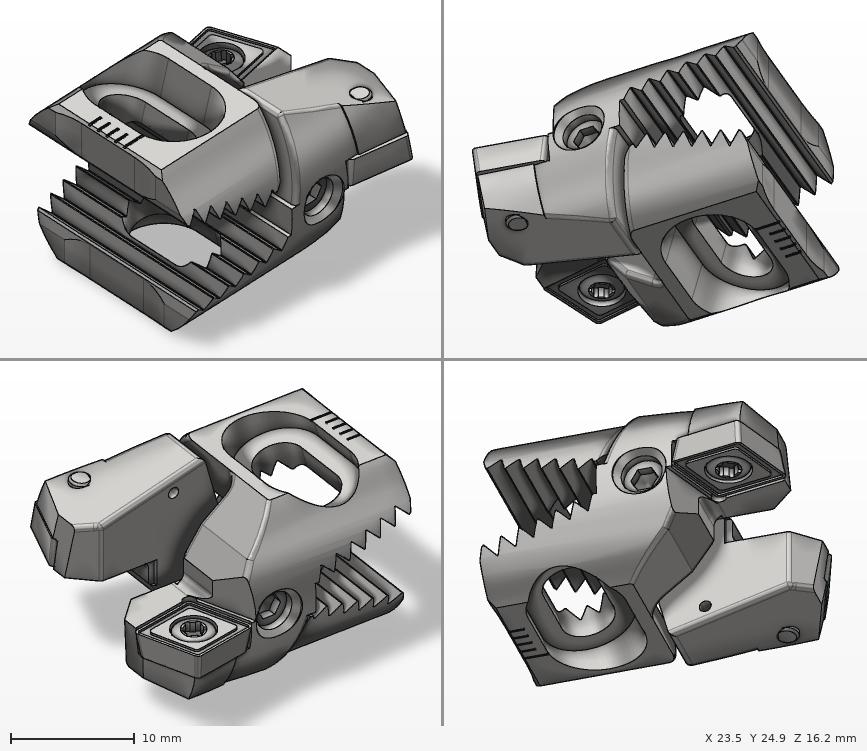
import cadquery as cq
import math


HEIGHT = 16.2
HALF_HEIGHT = HEIGHT / 2
BARREL_RADIUS = 10.0
BARREL_X = -0.5
TOOL_LENGTH = 24.95
TILT = 15.0
SLOT_HALF_WIDTH = 2.05
OVERSIZE = 14.97

PITCH = 1.65
TOOTH_HEIGHT = 1.15
TOOTH_COUNT = 7
FLAT_HALF = 0.05
FIRST_TIP = (0.45, 4.07)

JAW_BACK_Y = 12.08
FRONT_CHAMFER = 0.5
CORNER_RADIUS = 1.5
EDGE_RADIUS = 0.5
CUTBACK_ROOT_Y = 9.45
CUTBACK_Y = 9.9
CUTBACK_Z = 2.5
FRONT_EDGE_Z = 5.16
FRONT_LIP = (0.3, 4.22)
NOTCH_HALF_FLAT = 3.05
NOTCH_HALF_WIDTH = 5.71
NOTCH_DEPTH = 0.27

SLOT_X = -1.72
SLOT_Y = 6.69
SLOT_STRAIGHT = 4.92
SLOT_WIDTH = 4.55
RECESS_WIDTH = 8.0
RECESS_DEPTH = 2.55

MARK_COUNT = 5
MARK_PITCH = 1.0
FIRST_MARK_X = -2.77
MARK_WIDTH = 0.2
MARK_END_Y = 1.75
LONG_MARK_END_Y = 2.55
MARK_DEPTH = 0.1

ARM_STEP = (10.73, -1.2)
ARM_BACK = (12.13, -7.93)
NOSE_LOW_Y = 24.18
NOSE_HIGH_Y = 24.8
NOSE_CHAMFER = 2.15
FLOOR_Z = 0.25
FLUTE_WALL = (17.71, 2.57)
FLUTE_KNEE = (15.9, 5.15)
FLUTE_RADIUS = 0.95

FLARE_START_Y = 18.05
FLARE_RADIUS = 10.15
FLARE_ANGLE = 8.3
FLARE_END_X = -5.0

INSERT_X = -8.2
INSERT_Y = 20.8
INSERT_TURN = 20.3
INSERT_CIRCLE = 6.34
INSERT_ANGLE = 80.0
INSERT_THICKNESS = 2.37
INSERT_RELIEF = 7.0
INSERT_NOSE = 0.4
LAND = 0.22
GROOVE_WIDTH = 0.55
GROOVE_DEPTH = 0.2
NOSE_RELIEF = 9.6
POCKET_GAP = 0.32
POCKET_CORNER_RADIUS = 0.6
POCKET_CORNER = (-4.97, 18.94)

SCREW_TILT = 4.0
HEAD_DIAMETER = 3.65
HEAD_TOP_Z = 0.0
HEAD_CROWN = 0.35
HEAD_RIM = 0.25
HEAD_HEIGHT = 1.25
SHANK_DIAMETER = 2.0
SHANK_CHAMFER = 0.2
SCREW_END_Z = -5.9
SCREW_SEAT_DIAMETER = 3.87
STAR_DIAMETER = 2.15
STAR_DEPTH = 0.95
STAR_LOBES = 6

PLUG_Y = 13.95
PLUG_DIAMETER = 3.47
PLUG_MOUTH = 4.57
PLUG_FACE_X = -9.03
PLUG_FLARE_X = -9.78
PLUG_LENGTH = 4.0
HEX_WIDTH = 2.0
HEX_DEPTH = 0.75

COOLANT_DIAMETER = 1.0
COOLANT_Y = 15.55
COOLANT_Z = -5.6
COOLANT_DEPTH = 1.5
OUTLET_Y = 17.8
OUTLET_LENGTH = 1.2
OUTLET_WIDTH = 0.4
OUTLET_HEIGHT = 2.5

SIN = math.sin(math.radians(TILT))
COS = math.cos(math.radians(TILT))
TAN = math.tan(math.radians(TILT))
INNER_X = -SLOT_HALF_WIDTH


def side_prism(points, x_from, x_to):
    """Prism along X over a (y, z) outline."""
    return cq.Workplane("YZ", origin=(x_from, 0, 0)).polyline(points).close().extrude(x_to - x_from)


def barrel_half_width(z):
    """Half the width of the barrel at a given height."""
    return math.sqrt(BARREL_RADIUS**2 - z**2)


def envelope():
    """Round bar with two flats."""
    bar = cq.Workplane("XZ", origin=(BARREL_X, 0, 0)).circle(BARREL_RADIUS).extrude(-TOOL_LENGTH)
    return bar.intersect(cq.Workplane("XY").box(4 * OVERSIZE, 4 * OVERSIZE, 2 * HALF_HEIGHT))


def tooth_point(along, up):
    """Point of the teeth row, from the first tip backwards and square to the row."""
    return (FIRST_TIP[0] + along * COS + up * SIN, FIRST_TIP[1] - along * SIN + up * COS)


JAW_BOTTOM_Z = tooth_point((TOOTH_COUNT - 1) * PITCH - FLAT_HALF, 0)[1]
ARM_FRONT_Y = JAW_BACK_Y - (HALF_HEIGHT - JAW_BOTTOM_Z) * TAN


def jaw_outline():
    points = []
    for i in range(TOOTH_COUNT):
        root = (i - 0.5) * PITCH
        tip = i * PITCH
        points += [
            tooth_point(root - FLAT_HALF, TOOTH_HEIGHT),
            tooth_point(root + FLAT_HALF, TOOTH_HEIGHT),
            tooth_point(tip - FLAT_HALF, 0),
            tooth_point(tip + FLAT_HALF, 0),
        ]
    points = [(0, FRONT_EDGE_Z), FRONT_LIP, *points[3:-1], (ARM_FRONT_Y, JAW_BOTTOM_Z)]
    points += [
        (JAW_BACK_Y, HALF_HEIGHT),
        (FRONT_CHAMFER, HALF_HEIGHT),
        (0, HALF_HEIGHT - FRONT_CHAMFER),
    ]
    return points


def jaw_cutback():
    """Block that removes the last tooth and the lower back edge beside the arm."""
    end_y = JAW_BACK_Y
    points = [
        (CUTBACK_ROOT_Y, 0),
        (CUTBACK_ROOT_Y, CUTBACK_Z),
        (CUTBACK_Y, CUTBACK_Z),
        (end_y, CUTBACK_Z + end_y - CUTBACK_Y),
        (end_y, 0),
    ]
    return side_prism(points, INNER_X, OVERSIZE)


def underside_z(y):
    return ARM_BACK[1] + (y - ARM_BACK[0]) * TAN


def arm_foot():
    """(y, z) of the corner between the sloped front of the arm and its underside."""
    slope_y = ARM_STEP[0] - (underside_z(ARM_STEP[0]) - ARM_STEP[1]) * TAN
    y = ARM_STEP[0] + (slope_y - ARM_STEP[0]) / (1 + TAN**2)
    return (y, underside_z(y))


def arm_outline():
    return [
        (ARM_FRONT_Y, ARM_STEP[1]),
        ARM_STEP,
        arm_foot(),
        (NOSE_LOW_Y, underside_z(NOSE_LOW_Y)),
        (NOSE_HIGH_Y, FLOOR_Z),
        (FLUTE_WALL[0], FLOOR_Z),
        FLUTE_WALL,
        FLUTE_KNEE,
        (JAW_BACK_Y, HALF_HEIGHT),
        (ARM_FRONT_Y, JAW_BOTTOM_Z),
    ]


def midpoint(first, second):
    return ((first[0] + second[0]) / 2, (first[1] + second[1]) / 2)


def round_edges(body, radius, points):
    """Round the edges whose middles lie closest to the given points."""
    edges = [body.edges(cq.selectors.NearestToPointSelector(point)).val() for point in points]
    return body.newObject(edges).fillet(radius)


def inner_edge(spot):
    """Point on the inner side of the arm at a (y, z) spot."""
    return (INNER_X, *spot)


def outer_edge(spot):
    """Point on the barrel side of the arm at a (y, z) spot."""
    return (BARREL_X - barrel_half_width(spot[1]), *spot)


def rounded_blank():
    """Jaw and arm with their rounded edges."""
    jaw = side_prism(jaw_outline(), -OVERSIZE, OVERSIZE)
    arm = side_prism(arm_outline(), -OVERSIZE, INNER_X)
    blank = jaw.cut(jaw_cutback()).union(arm).intersect(envelope())

    blank = round_edges(blank, FLUTE_RADIUS, [(3 * INNER_X, FLUTE_WALL[0], FLOOR_Z)])

    blank = round_edges(blank, EDGE_RADIUS, [(INNER_X, ARM_FRONT_Y, 0)])

    jaw_top = (JAW_BACK_Y, HALF_HEIGHT)
    back = midpoint((ARM_FRONT_Y, JAW_BOTTOM_Z), jaw_top)
    blank = round_edges(blank, CORNER_RADIUS, [inner_edge(back)])
    blank = round_edges(blank, EDGE_RADIUS, [(BARREL_X + barrel_half_width(back[1]), *back)])

    foot = arm_foot()
    front = midpoint(ARM_STEP, foot)
    under = midpoint(foot, (NOSE_LOW_Y, underside_z(NOSE_LOW_Y)))
    lower_edges = [
        outer_edge(front),
        outer_edge(under),
        inner_edge(under),
        (2 * INNER_X, *foot),
    ]
    blank = round_edges(blank, EDGE_RADIUS, lower_edges)

    wall = midpoint(FLUTE_WALL, FLUTE_KNEE)
    roof = midpoint(FLUTE_KNEE, jaw_top)
    upper_edges = [outer_edge(wall), outer_edge(roof), inner_edge(wall), inner_edge(roof)]
    blank = round_edges(blank, EDGE_RADIUS, upper_edges)

    bevel_y = NOSE_HIGH_Y - NOSE_CHAMFER / 2
    bevel = (INNER_X - NOSE_CHAMFER / 2, bevel_y, underside_z(bevel_y))
    return round_edges(blank.cut(nose_chamfer()), EDGE_RADIUS, [bevel])


def nose_chamfer():
    """Corner block taken off the inner side of the arm tip."""
    points = [
        (INNER_X - NOSE_CHAMFER, NOSE_HIGH_Y),
        (INNER_X, NOSE_HIGH_Y - NOSE_CHAMFER),
        (INNER_X, NOSE_HIGH_Y),
    ]
    return cq.Workplane("XY").polyline(points).close().extrude(OVERSIZE, both=True)


def arm_flare():
    """Conical swelling of the arm that carries the insert."""
    growth = (TOOL_LENGTH - FLARE_START_Y) * math.tan(math.radians(FLARE_ANGLE))
    cone = (
        cq.Workplane("XY", origin=(BARREL_X, 0, 0))
        .polyline([
            (0, FLARE_START_Y),
            (FLARE_RADIUS, FLARE_START_Y),
            (FLARE_RADIUS + growth, TOOL_LENGTH),
            (0, TOOL_LENGTH),
        ])
        .close()
        .revolve(360, (0, 0, 0), (0, 1, 0))
    )
    limits = [
        (FLARE_START_Y, FLOOR_Z),
        (FLARE_START_Y, underside_z(FLARE_START_Y)),
        (NOSE_LOW_Y, underside_z(NOSE_LOW_Y)),
        (NOSE_HIGH_Y, FLOOR_Z),
    ]
    return cone.intersect(side_prism(limits, -OVERSIZE, FLARE_END_X))


INSERT_SIDE = INSERT_CIRCLE / math.sin(math.radians(INSERT_ANGLE))


def insert_corner(first, second):
    """Corner offset from the insert centre, along its two side directions."""
    angles = (math.radians(INSERT_TURN), math.radians(INSERT_TURN + INSERT_ANGLE))
    half = INSERT_SIDE / 2
    return (
        half * (first * math.cos(angles[0]) + second * math.cos(angles[1])),
        half * (first * math.sin(angles[0]) + second * math.sin(angles[1])),
    )


def insert_wire(offset, z):
    """Insert outline, grown (positive) or shrunk (negative) and set at a height."""
    corners = [insert_corner(1, 1), insert_corner(-1, 1), insert_corner(-1, -1), insert_corner(1, -1)]
    plane = cq.Workplane("XY", origin=(INSERT_X, INSERT_Y, z))
    grown = 1 + 2 * offset / INSERT_CIRCLE
    return plane.polyline([(x * grown, y * grown) for x, y in corners]).close()


def insert_block():
    block = insert_wire(0, 0).extrude(-INSERT_THICKNESS, taper=INSERT_RELIEF)
    return block.edges("not(#Z)").fillet(INSERT_NOSE)


def chip_groove():
    ring = insert_wire(-LAND, -GROOVE_DEPTH).extrude(2 * GROOVE_DEPTH)
    core = insert_wire(-LAND - GROOVE_WIDTH, -GROOVE_DEPTH).extrude(2 * GROOVE_DEPTH)
    return ring.edges("|Z").fillet(INSERT_NOSE / 2).cut(core.edges("|Z").fillet(INSERT_NOSE))


def on_screw_axis(body):
    """Lean a body made on the Z axis onto the insert screw axis."""
    lean_x = POCKET_CORNER[0] - INSERT_X
    lean_y = POCKET_CORNER[1] - INSERT_Y
    leaning = body.rotate((0, 0, 0), (-lean_y, lean_x, 0), -SCREW_TILT)
    return leaning.translate((INSERT_X, INSERT_Y, 0))


def screw_blank():
    head = HEAD_DIAMETER / 2
    shank = SHANK_DIAMETER / 2
    profile = [
        (0, HEAD_TOP_Z),
        (STAR_DIAMETER / 2, HEAD_TOP_Z),
        (head, HEAD_TOP_Z - HEAD_CROWN),
        (head, HEAD_TOP_Z - HEAD_CROWN - HEAD_RIM),
        (shank, HEAD_TOP_Z - HEAD_HEIGHT),
        (shank, SCREW_END_Z + SHANK_CHAMFER),
        (shank - SHANK_CHAMFER, SCREW_END_Z),
        (0, SCREW_END_Z),
    ]
    return on_screw_axis(cq.Workplane("XZ").polyline(profile).close().revolve(360, (0, 0, 0), (0, 1, 0)))


def star_socket():
    """Six-lobed socket: a round core with a smaller round lobe at each sixth of a turn."""
    lobe = STAR_DIAMETER / 10
    base = cq.Workplane("XY", origin=(0, 0, HEAD_TOP_Z))
    core = base.circle(STAR_DIAMETER / 2 - lobe).extrude(-STAR_DEPTH)
    lobes = base.polarArray(STAR_DIAMETER / 2 - lobe, 0, 360, STAR_LOBES).circle(lobe).extrude(-STAR_DEPTH)
    return on_screw_axis(core.union(lobes))


def make_screw():
    return screw_blank().cut(star_socket())


def make_insert():
    seat_floor = HEAD_TOP_Z - HEAD_CROWN - HEAD_RIM
    seat = cq.Workplane("XY", origin=(0, 0, seat_floor)).circle(SCREW_SEAT_DIAMETER / 2).extrude(HEAD_HEIGHT)
    block = insert_block().cut(chip_groove())
    return block.cut(on_screw_axis(seat)).cut(screw_blank())


def insert_pocket():
    """Room for the insert, the clearance above it and the relief at its inner corner."""
    upright = insert_wire(0, -INSERT_THICKNESS).extrude(OVERSIZE)
    upright = upright.edges("|Z").fillet(INSERT_NOSE)
    clearance = insert_wire(POCKET_GAP, FLOOR_Z).extrude(OVERSIZE)
    relief = (
        cq.Workplane("XY", origin=(*POCKET_CORNER, -INSERT_THICKNESS))
        .circle(POCKET_CORNER_RADIUS)
        .extrude(OVERSIZE)
    )
    return upright.union(clearance).union(relief)


def nose_relief():
    """Wedge that trims the arm tip along the front side of the insert."""
    turn = math.radians(INSERT_TURN)
    corner = insert_corner(-1, 1)
    plane = cq.Plane(
        origin=(INSERT_X + corner[0], INSERT_Y + corner[1], 0),
        xDir=(-math.sin(turn), math.cos(turn), 0),
        normal=(math.cos(turn), math.sin(turn), 0),
    )
    inset = OVERSIZE * math.tan(math.radians(NOSE_RELIEF))
    wedge = [(0, OVERSIZE), (0, 0), (-inset, -OVERSIZE), (OVERSIZE, -OVERSIZE), (OVERSIZE, OVERSIZE)]
    return cq.Workplane(plane).polyline(wedge).close().extrude(OVERSIZE, both=True)


def plug_bar():
    return cq.Workplane("YZ", origin=(PLUG_FACE_X, PLUG_Y, 0)).circle(PLUG_DIAMETER / 2).extrude(PLUG_LENGTH)


def plug_hole():
    """Plug bore with a flared mouth."""
    mouth = PLUG_MOUTH / 2
    bore = PLUG_DIAMETER / 2
    flare = [
        (PLUG_FACE_X, 0),
        (PLUG_FACE_X, bore),
        (PLUG_FLARE_X, bore),
        (PLUG_FLARE_X - (mouth - bore), mouth),
        (-OVERSIZE, mouth),
        (-OVERSIZE, 0),
    ]
    cone = cq.Workplane("XY", origin=(0, PLUG_Y, 0)).polyline(flare).close().revolve(360, (0, 0, 0), (1, 0, 0))
    return plug_bar().union(cone)


def make_plug():
    """Plug with a hexagon socket that ends in a drill point."""
    corner = HEX_WIDTH / math.sqrt(3)
    drill = [(0, 0), (0, corner), (HEX_DEPTH, corner), (HEX_DEPTH + corner / 2, 0)]
    hexagon = cq.Workplane("YZ").polygon(6, 2 * corner).extrude(HEX_DEPTH + corner)
    socket = hexagon.intersect(cq.Workplane("XY").polyline(drill).close().revolve(360, (0, 0, 0), (1, 0, 0)))
    return plug_bar().cut(socket.translate((PLUG_FACE_X, PLUG_Y, 0)))


def clamping_slot():
    """Stepped oblong hole, square to the teeth row."""
    plane = cq.Plane(origin=(SLOT_X, SLOT_Y, HALF_HEIGHT), xDir=(1, 0, 0), normal=(0, SIN, COS))
    recess = (
        cq.Workplane(plane)
        .workplane(offset=-RECESS_DEPTH)
        .slot2D(SLOT_STRAIGHT + RECESS_WIDTH, RECESS_WIDTH)
        .extrude(OVERSIZE)
    )
    through = cq.Workplane(plane).slot2D(SLOT_STRAIGHT + SLOT_WIDTH, SLOT_WIDTH).extrude(-HALF_HEIGHT)
    return recess.union(through)


def front_notch():
    """Shallow hollow across the jaw front, blended out by an arc at both ends."""
    half = (
        cq.Workplane("XY")
        .moveTo(0, 0)
        .lineTo(0, NOTCH_DEPTH)
        .lineTo(NOTCH_HALF_FLAT, NOTCH_DEPTH)
        .tangentArcPoint((NOTCH_HALF_WIDTH, 0), relative=False)
        .close()
        .extrude(HALF_HEIGHT)
    )
    return half.union(half.mirror("YZ")).translate((BARREL_X, 0, 0))


def scale_marks():
    """Row of engraved marks on the flat top; the last one is long."""
    marks = cq.Workplane("XY")
    for i in range(MARK_COUNT):
        end = LONG_MARK_END_Y if i == MARK_COUNT - 1 else MARK_END_Y
        mark = cq.Workplane("XY").box(MARK_WIDTH, end, 2 * MARK_DEPTH, centered=(True, False, True))
        marks = marks.union(mark.translate((FIRST_MARK_X + i * MARK_PITCH, 0, HALF_HEIGHT)))
    return marks


def coolant_hole():
    start = (INNER_X - COOLANT_DEPTH, COOLANT_Y, COOLANT_Z)
    return cq.Workplane("YZ", origin=start).circle(COOLANT_DIAMETER / 2).extrude(COOLANT_DEPTH)


def coolant_outlet():
    return cq.Workplane("XY", origin=(INNER_X - OUTLET_WIDTH, OUTLET_Y, FLOOR_Z)).box(
        2 * OUTLET_WIDTH, OUTLET_LENGTH, OUTLET_HEIGHT, centered=(False, True, False)
    )


def make_cartridge():
    body = rounded_blank().union(arm_flare())
    cutters = [
        nose_relief(),
        insert_pocket(),
        screw_blank(),
        plug_hole(),
        clamping_slot(),
        front_notch(),
        scale_marks(),
        coolant_hole(),
        coolant_outlet(),
    ]
    for cutter in cutters:
        body = body.cut(cutter)
    return body


bodies = []
for part in (make_cartridge(), make_insert(), make_screw(), make_plug()):
    for turn in (0, 180):
        bodies.append(part.rotate((0, 0, 0), (0, 1, 0), turn).val())

result = cq.Compound.makeCompound(bodies)